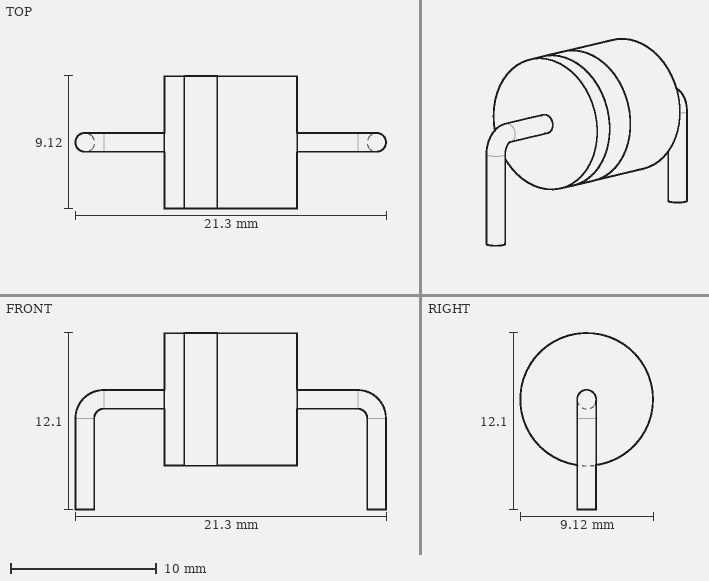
import cadquery as cq

overall_length = 21.3
overall_height = 12.12
body_length = 9.1
body_diameter = 9.1
band_diameter = 9.12
band_offset = 1.36
band_width = 2.28
lead_diameter = 1.3
bend_radius = lead_diameter

lead_x = (overall_length - lead_diameter) / 2
lead_bottom = band_diameter / 2 - overall_height


def cylinder_along_x(start_x, length, diameter):
    """Cylinder on the X axis, running in +X from start_x."""
    return cq.Workplane("YZ", origin=(start_x, 0, 0)).circle(diameter / 2).extrude(length)


def bent_leads():
    """One wire through the body, with both ends bent down towards -Z."""
    straight_end = lead_x - bend_radius
    path = (
        cq.Workplane("XZ")
        .moveTo(-lead_x, lead_bottom)
        .lineTo(-lead_x, -bend_radius)
        .tangentArcPoint((-straight_end, 0), relative=False)
        .lineTo(straight_end, 0)
        .tangentArcPoint((lead_x, -bend_radius), relative=False)
        .lineTo(lead_x, lead_bottom)
    )
    profile = cq.Workplane("XY", origin=(-lead_x, 0, lead_bottom)).circle(lead_diameter / 2)
    return profile.sweep(path)


body = cylinder_along_x(-body_length / 2, body_length, body_diameter)

band = cylinder_along_x(-body_length / 2 + band_offset, band_width, band_diameter)

result = body.union(band).union(bent_leads())